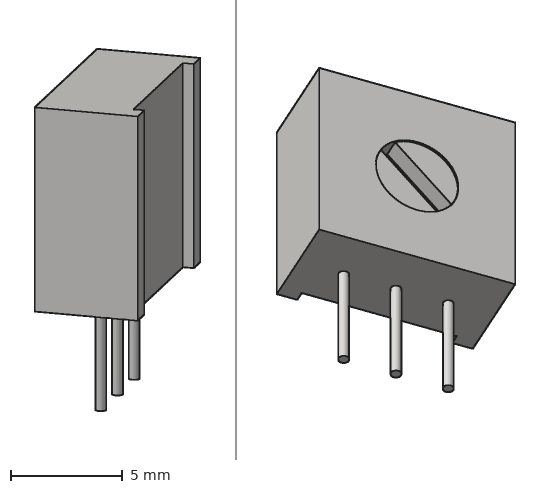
import cadquery as cq

body_depth = 4.82
body_side = 9.53
overall_height = 14.53

rail_width = 1.0
rail_height = 0.51

disc_diameter = 4.01
disc_recess = 0.1
slot_width = 0.97
slot_depth = 1.0
slot_angle = 45.0

pin_diameter = 0.5
pin_pitch = 2.55
pin_length = overall_height - body_side

front_x = -body_depth / 2
back_x = body_depth / 2
body_mid_z = body_side / 2


def make_body():
    block = cq.Workplane("XY").box(body_depth, body_side, body_side, centered=(True, True, False))
    recess = (
        cq.Workplane("XY")
        .box(rail_height, body_side - 2 * rail_width, body_side, centered=(True, True, False))
        .translate((back_x - rail_height / 2, 0, 0))
    )
    return block.cut(recess)


def disc_space(depth):
    """Cylinder reaching inward from the -X face over the adjustment disc."""
    return (
        cq.Workplane("YZ", origin=(front_x, 0, body_mid_z))
        .circle(disc_diameter / 2)
        .extrude(depth)
    )


def make_slot():
    """Diagonal screwdriver slot, ending at the rim of the disc."""
    bar = (
        cq.Workplane("YZ", origin=(front_x, 0, body_mid_z))
        .transformed(rotate=(0, 0, slot_angle))
        .rect(disc_diameter, slot_width)
        .extrude(slot_depth)
    )
    return bar.intersect(disc_space(slot_depth))


def make_pins():
    return (
        cq.Workplane("XY")
        .pushPoints([(0, position * pin_pitch) for position in (-1, 0, 1)])
        .circle(pin_diameter / 2)
        .extrude(-pin_length)
    )


result = make_body().cut(disc_space(disc_recess)).cut(make_slot()).union(make_pins())